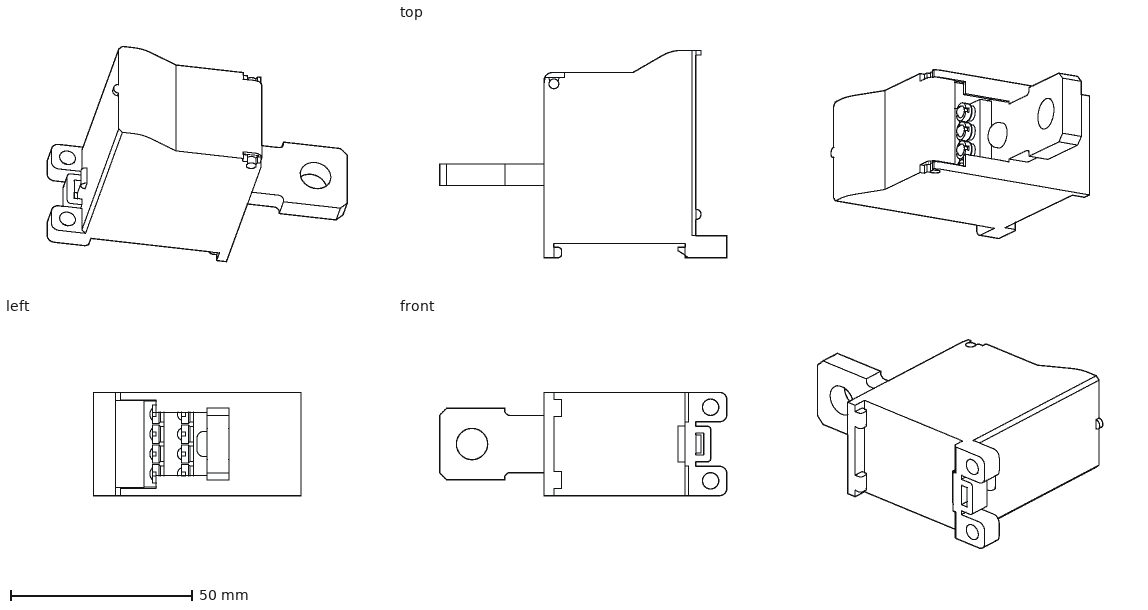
import cadquery as cq
import math

length = 79.2
width = 28.5
height = 57.2
half_width = width / 2

front_x = 28.75
back_x = 70.65
underside_y = 3.9
front_top_y = 51.1
ramp_start_x = 53.3
ramp_angle = math.radians(30)
ramp_round = 10.3
front_corner_radius = 2.4
back_edge_chamfer = 1.0

foot_start_x = 67.6
foot_height = 6.1
foot_chamfer_length = 0.95
foot_chamfer_height = 0.7
ear_inner_z = 6.1
ear_corner_radius = 2.05
ear_hole_diameter = 4.4
ear_hole_x = 74.7
ear_hole_z = 10.1
latch_end_x = 74.8
latch_half_width = 4.9
latch_corner_radius = 0.95
latch_slot_end_x = 72.8
latch_slot_half_width = 3.0

lip_end_x = 31.5
hook_height = 2.9
hook_end_x = 33.65
hook_width = 4.75
hook_z = 9.9
hook_radius = 1.0
wedge_start_x = 65.65
wedge_nose_y = 2.0

bump_y = 11.95
bump_radius = 1.4
bump_half_width = 2.5
knob_height = 1.35
knob_radius = 1.4

blade_bottom_y = 19.9
blade_top_y = 25.9
blade_half_width = 9.9
blade_chamfer = 2.0
neck_half_width = 7.9
shoulder_x = 18.0
shoulder_radius = 1.4
blade_hole_x = 8.95
blade_hole_diameter = 8.55

wall = 1.0
chamber_half_width = 11.8
upper_opening_half_width = 12.2
chamber_end_x = 68.1
chamber_top_y = 49.7
opening_half_width = 8.7
upper_opening_y = 39.9
lid_bottom_y = 43.25
lid_half_width = 12.0

hinge_x = 31.5
hinge_y = 47.9
pin_radius = 1.35
pin_recess = 0.1
recess_y = 49.7
recess_end_x = 34.4
recess_wall_y = 47.75
recess_inset = 0.4
funnel_top_half_width = 1.4
funnel_half_width = 0.95

terminal_half_width = 11.1
lower_step_x = 38.0
lower_step_y = 29.6
upper_step_x = 49.1
upper_step_y = 37.7
terminal_end_x = 60.2
screw_setback = 4.75
screw_pitch = 5.5
screw_count = 4
shank_radius = 2.1
shank_height = 1.0
head_radius = 2.5
head_height = 2.2
lower_crown_height = 1.2
upper_crown_height = 0.7
crown_radius = 1.7
notch_width = 1.1
notch_depth = 1.0
blade_screw_x = 33.3
blade_screw_radius = 3.5
blade_screw_height = 2.8
blade_screw_round = 1.9


def block(x_range, y_range, z_range):
    """Axis-aligned box between pairs of limits."""
    sizes = [high - low for low, high in (x_range, y_range, z_range)]
    corner = (x_range[0], y_range[0], z_range[0])
    return cq.Workplane("XY").box(*sizes, centered=False).translate(corner)


def plan_prism(points, z_range):
    """Prism with an XY outline between two Z levels."""
    base = cq.Workplane("XY").workplane(offset=z_range[0])
    return base.polyline(points).close().extrude(z_range[1] - z_range[0])


def upright_cylinder(radius, x, z, y_low, y_high):
    """Cylinder with its axis along Y."""
    base = cq.Workplane("XZ", origin=(x, y_low, z)).circle(radius)
    return base.extrude(y_low - y_high)


def symmetric(half):
    """Limits spaced evenly about zero."""
    return (-half, half)


def make_housing():
    ramp_top_x = ramp_start_x + (height - front_top_y) / math.tan(ramp_angle)
    tangent = ramp_round * math.tan(ramp_angle / 2)
    arc_start = (
        ramp_top_x - tangent * math.cos(ramp_angle),
        height - tangent * math.sin(ramp_angle),
    )
    arc_centre = (ramp_top_x + tangent, height - ramp_round)
    arc_middle = (
        arc_centre[0] - ramp_round * math.sin(ramp_angle / 2),
        arc_centre[1] + ramp_round * math.cos(ramp_angle / 2),
    )
    corner_reach = front_corner_radius * math.sqrt(0.5)
    corner_middle = (
        front_x + front_corner_radius - corner_reach,
        front_top_y - front_corner_radius + corner_reach,
    )
    body = (
        cq.Workplane("XY").workplane(offset=-half_width)
        .moveTo(front_x, 0)
        .lineTo(front_x, front_top_y - front_corner_radius)
        .threePointArc(corner_middle, (front_x + front_corner_radius, front_top_y))
        .lineTo(ramp_start_x, front_top_y)
        .lineTo(*arc_start)
        .threePointArc(arc_middle, (arc_centre[0], height))
        .lineTo(back_x, height)
        .lineTo(back_x, underside_y)
        .lineTo(lip_end_x, underside_y)
        .lineTo(lip_end_x, 0)
        .close()
        .extrude(width)
    )
    return body.faces(">X").edges("|Y").chamfer(back_edge_chamfer)


def make_foot():
    foot = block((foot_start_x, back_x), (0, foot_height), symmetric(half_width))
    wedge = plan_prism(
        [
            (foot_start_x, foot_chamfer_height),
            (foot_start_x, hook_height),
            (wedge_start_x, hook_height),
            (wedge_start_x, wedge_nose_y),
        ],
        symmetric(latch_half_width),
    )
    latch = block((back_x, latch_end_x), (0, foot_height), symmetric(latch_half_width))
    latch = latch.faces(">X").edges("|Y").fillet(latch_corner_radius)
    foot = foot.union(wedge).union(latch)
    for side in (-1, 1):
        z_range = sorted((side * ear_inner_z, side * half_width))
        ear = block((back_x, length), (0, foot_height), z_range)
        ear = ear.faces(">X").edges("|Y").fillet(ear_corner_radius)
        bevel = plan_prism(
            [
                (foot_start_x, 0),
                (foot_start_x + foot_chamfer_length, 0),
                (foot_start_x, foot_chamfer_height),
            ],
            z_range,
        )
        hole = upright_cylinder(ear_hole_diameter / 2, ear_hole_x, side * ear_hole_z, 0, foot_height)
        foot = foot.union(ear).cut(bevel).cut(hole)
    slot = block((back_x, latch_slot_end_x), (0, foot_height), symmetric(latch_slot_half_width))
    return foot.cut(slot)


def make_hooks():
    hook = block((lip_end_x, hook_end_x), (0, hook_height), symmetric(hook_width / 2))
    hook = hook.faces(">X").edges("|Z").fillet(hook_radius)
    return hook.translate((0, 0, hook_z)).union(hook.translate((0, 0, -hook_z)))


def make_back_details():
    bump = (
        cq.Workplane("XY", origin=(back_x, bump_y, -bump_half_width))
        .circle(bump_radius)
        .extrude(2 * bump_half_width)
    )
    knob = upright_cylinder(knob_radius, back_x, 0, height - knob_height, height)
    return bump.union(knob)


def make_blade():
    thickness = (blade_bottom_y, blade_top_y)
    head = block((0, shoulder_x), thickness, symmetric(blade_half_width))
    head = head.faces("<X").edges("|Y").chamfer(blade_chamfer)
    neck = block((shoulder_x, front_x + wall), thickness, symmetric(neck_half_width))
    blade = head.union(neck)
    middle_y = (blade_bottom_y + blade_top_y) / 2
    for side in (-1, 1):
        shoulder = (shoulder_x, middle_y, side * neck_half_width)
        blade = blade.edges(cq.selectors.NearestToPointSelector(shoulder)).fillet(shoulder_radius)
    hole = upright_cylinder(blade_hole_diameter / 2, blade_hole_x, 0, *thickness)
    return blade.cut(hole)


def make_chamber():
    """Space removed behind and through the front wall, leaving the lid hanging."""
    inner_x = front_x + wall
    chamber = block((inner_x, chamber_end_x), (blade_top_y, chamber_top_y), symmetric(chamber_half_width))
    lower = block((front_x, inner_x), (blade_top_y, upper_opening_y), symmetric(opening_half_width))
    upper = block((front_x, inner_x), (upper_opening_y, lid_bottom_y), symmetric(upper_opening_half_width))
    space = chamber.union(lower).union(upper)
    for side in (-1, 1):
        z_range = sorted((side * lid_half_width, side * upper_opening_half_width))
        gap = block((front_x, inner_x), (lid_bottom_y, chamber_top_y), z_range)
        space = space.union(gap)
    return space


def make_hinge_recesses():
    """Corner cut-outs around the lid pins, whose ends sit just below the side faces."""
    recess_outline = [
        (front_x, recess_wall_y),
        (front_x + recess_inset, recess_y),
        (hinge_x - funnel_top_half_width, recess_y),
        (hinge_x - funnel_half_width, hinge_y),
        (hinge_x + funnel_half_width, hinge_y),
        (hinge_x + funnel_top_half_width, recess_y),
        (recess_end_x, recess_y),
        (recess_end_x, height),
        (front_x, height),
    ]
    recess = plan_prism(recess_outline, (lid_half_width, half_width))
    pin_seat = cq.Workplane("XY", origin=(hinge_x, hinge_y, lid_half_width))
    pin_length = half_width - lid_half_width
    pin_hole = pin_seat.circle(pin_radius).extrude(pin_length)
    pin = pin_seat.circle(pin_radius).extrude(pin_length - pin_recess)
    upper = recess.union(pin_hole).cut(pin)
    return upper.union(upper.mirror("XY"))


def make_screw(crown_height):
    """Domed screw standing on Y = 0, with a notch on each side of the head rim."""
    head_top = shank_height + head_height
    sphere_radius = (crown_radius**2 + crown_height**2) / (2 * crown_height)
    arc_x = crown_radius / 2
    arc_drop = sphere_radius - math.sqrt(sphere_radius**2 - arc_x**2)
    crown_top = head_top + crown_height
    profile = (
        cq.Workplane("XY")
        .polyline(
            [
                (0, 0),
                (shank_radius, 0),
                (shank_radius, shank_height),
                (head_radius, shank_height + head_radius - shank_radius),
                (head_radius, head_top),
                (crown_radius, head_top),
            ]
        )
        .threePointArc((arc_x, crown_top - arc_drop), (0, crown_top))
        .close()
    )
    screw = profile.revolve(360, (0, 0), (0, 1))
    for x_range in ((-head_radius, -crown_radius), (crown_radius, head_radius)):
        notch = block(x_range, (head_top - notch_depth, head_top), symmetric(notch_width / 2))
        screw = screw.cut(notch)
    return screw


def make_terminals():
    lower = block(
        (lower_step_x, terminal_end_x), (blade_top_y, lower_step_y), symmetric(terminal_half_width)
    )
    upper = block(
        (upper_step_x, terminal_end_x), (lower_step_y, upper_step_y), symmetric(terminal_half_width)
    )
    terminals = lower.union(upper)
    first_z = -screw_pitch * (screw_count - 1) / 2
    rows = (
        (lower_step_x, lower_step_y, lower_crown_height),
        (upper_step_x, upper_step_y, upper_crown_height),
    )
    for step_x, step_y, crown_height in rows:
        screw = make_screw(crown_height)
        for index in range(screw_count):
            place = (step_x + screw_setback, step_y, first_z + index * screw_pitch)
            terminals = terminals.union(screw.translate(place))
    blade_screw_top = blade_top_y + blade_screw_height
    blade_screw = upright_cylinder(blade_screw_radius, blade_screw_x, 0, blade_top_y, blade_screw_top)
    return terminals.union(blade_screw.faces(">Y").edges().fillet(blade_screw_round))


result = (
    make_housing()
    .cut(make_chamber())
    .cut(make_hinge_recesses())
    .union(make_blade())
    .union(make_foot())
    .union(make_hooks())
    .union(make_back_details())
    .union(make_terminals())
)